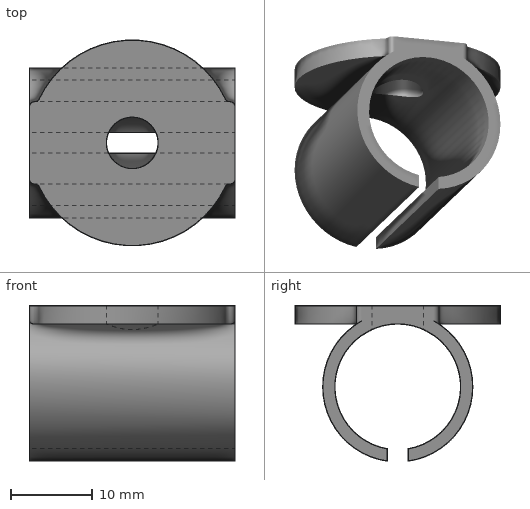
import cadquery as cq

length = 25.4
bore_diameter = 15.5
wall = 1.52
slot_width = 2.55
plate_thickness = 2.29
hole_diameter = 6.35
tab_width = 10.15
tab_fillet = 0.64

bore_radius = bore_diameter / 2
outer_radius = bore_radius + wall
plate_bottom = bore_radius
plate_top = plate_bottom + plate_thickness


def rod_along_x(radius):
    """Cylinder on the X axis, centred on the origin."""
    return cq.Workplane("YZ").circle(radius).extrude(length / 2, both=True)


def make_plate():
    """Round plate with a flat-ended tab reaching each end of the clip."""
    base = cq.Workplane("XY").workplane(offset=plate_bottom)
    disc = base.circle(length / 2).extrude(plate_thickness)
    tabs = base.rect(length, tab_width).extrude(plate_thickness)
    plate = disc.union(tabs)

    tab_corners = plate.edges("|Z").edges(
        cq.selectors.BoxSelector(
            (-length, -tab_width, 0), (length, -tab_width / 4, plate_top)
        )
        + cq.selectors.BoxSelector(
            (-length, tab_width / 4, 0), (length, tab_width, plate_top)
        )
    )
    return tab_corners.fillet(tab_fillet)


def make_slot():
    """Cutter that opens the bottom of the clip along its full length."""
    return cq.Workplane("XY").rect(length, slot_width).extrude(-2 * outer_radius)


def make_hole():
    """Cutter for the hole from the plate top into the bore."""
    return cq.Workplane("XY").circle(hole_diameter / 2).extrude(plate_top)


result = (
    rod_along_x(outer_radius)
    .union(make_plate())
    .cut(rod_along_x(bore_radius))
    .cut(make_slot())
    .cut(make_hole())
)